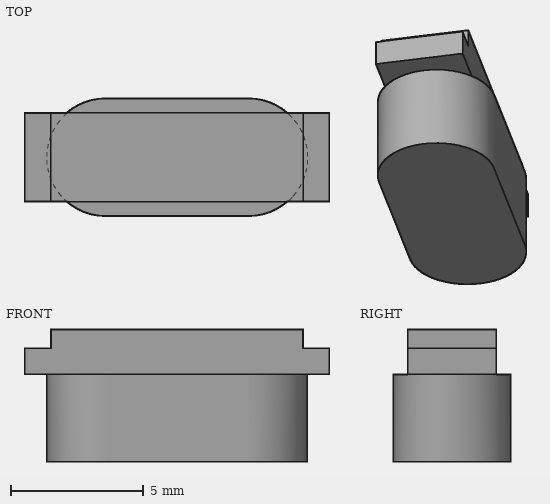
import cadquery as cq

total_length = 11.5
total_height = 5.0

body_length = 9.85
body_width = 4.45

bar_width = 3.36
flange_thickness = 0.99
cap_length = 9.52
cap_height = 0.7
body_height = total_height - flange_thickness - cap_height

body = cq.Workplane("XY").slot2D(body_length, body_width).extrude(body_height)

flange = (
    cq.Workplane("XY", origin=(0, 0, body_height))
    .rect(total_length, bar_width)
    .extrude(flange_thickness)
)

cap = (
    cq.Workplane("XY", origin=(0, 0, body_height + flange_thickness))
    .rect(cap_length, bar_width)
    .extrude(cap_height)
)

result = body.union(flange).union(cap).clean()